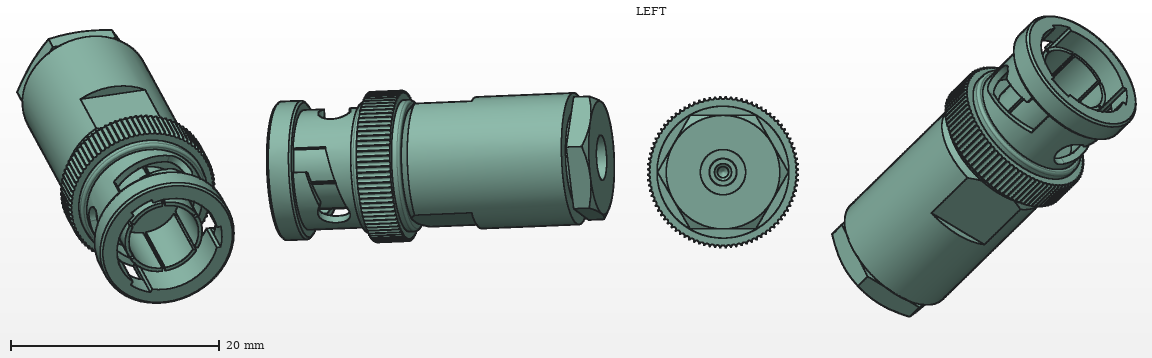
import cadquery as cq
import math

LENGTH = 31.5

HEX_FLATS = 10.9
HEX_LENGTH = 2.02
HEX_CHAMFER_ANGLE = 30.0
NECK_RADIUS = 4.6
CABLE_RADIUS = 2.17
CABLE_BORE_DEPTH = 9.45

BARREL_START = 2.5
BARREL_RADIUS = 6.33
BARREL_CHAMFER = 0.75
BARREL_END = 18.43
WRENCH_FLATS = HEX_FLATS
WRENCH_START = 12.05
CONTACT_RADIUS = 3.85
CONTACT_BORE_RADIUS = 3.45
CONTACT_START = 23.3
CONTACT_END = 30.1
SLIT_WIDTH = 0.28
SLIT_CUTS = 3

PIN_RADIUS = 1.3
PIN_CLEARANCE = 0.03
PIN_END = 22.05
CUP_RADIUS = 0.55
CUP_MOUTH_RADIUS = 0.82
CUP_DEPTH = 2.52

COLLAR_RADIUS = 6.33
COLLAR_FILLET = 0.28
GRIP_RADIUS = 7.25
GRIP_START = 19.2
GRIP_END = 22.52
GRIP_CHAMFER = 0.13
KNURL_COUNT = 88
KNURL_GROOVE_RADIUS = 0.22
SLEEVE_RADIUS = 5.75
SLEEVE_BORE_RADIUS = 5.05
FLANGE_RADIUS = 6.68
FLANGE_START = 29.07
FLANGE_CHAMFER = 0.22

SLOT_COUNT = 3
SLOT_FIRST_ANGLE = 61.0
SLOT_ROUND_X = 25.67
SLOT_ROUND_RADIUS = 1.58
SLOT_ENTRY_REAR_X = 25.92
SLOT_ENTRY_FRONT_X = 27.85
SLOT_ENTRY_NEAR_ANGLE = 46.4
SLOT_ENTRY_FAR_ANGLE = 70.3
LUG_GROOVE_RADIUS = 5.42
LUG_GROOVE_WIDTH = 2.27
CUT_MARGIN = 0.15

CHANNEL_SECTIONS = 6
CHANNEL_START_ANGLE = 3.9
CHANNEL_LEAD = 0.0265
CHANNEL_WIDTH = SLOT_ENTRY_FRONT_X - SLOT_ENTRY_REAR_X + CHANNEL_LEAD * (
    SLOT_ENTRY_FAR_ANGLE - SLOT_ENTRY_NEAR_ANGLE
)


def revolve_profile(points):
    """Turn a closed profile of (x, radius) points about the X axis."""
    return cq.Workplane("XY").polyline(points).close().revolve(360, (0, 0, 0), (1, 0, 0))


def cylinder(start, end, radius):
    return cq.Workplane("YZ").workplane(offset=start).circle(radius).extrude(end - start)


def turn_about_x(shape, angle):
    return shape.rotate((0, 0, 0), (1, 0, 0), angle)


def make_hexagon():
    """Hexagon with its rear corners turned off by a cone."""
    corner_radius = HEX_FLATS / 2 / math.cos(math.radians(30))
    chamfer = (corner_radius - HEX_FLATS / 2) * math.tan(math.radians(HEX_CHAMFER_ANGLE))
    envelope = revolve_profile([
        (0, 0),
        (0, HEX_FLATS / 2),
        (chamfer, corner_radius),
        (HEX_LENGTH, corner_radius),
        (HEX_LENGTH, 0),
    ])
    return cq.Workplane("YZ").polygon(6, 2 * corner_radius).extrude(HEX_LENGTH).intersect(envelope)


def make_wrench_flats():
    """Cutters for the two flats, above and below the barrel."""
    length = BARREL_END - WRENCH_START
    upper = (
        cq.Workplane("XY")
        .box(length, 2 * BARREL_RADIUS, BARREL_RADIUS, centered=(False, True, False))
        .translate((WRENCH_START, 0, WRENCH_FLATS / 2))
    )
    return upper.union(upper.mirror("XY"))


def make_housing():
    turned = revolve_profile([
        (HEX_LENGTH, 0),
        (HEX_LENGTH, NECK_RADIUS),
        (BARREL_START, NECK_RADIUS),
        (BARREL_START, BARREL_RADIUS),
        (BARREL_END - BARREL_CHAMFER, BARREL_RADIUS),
        (BARREL_END, BARREL_RADIUS - BARREL_CHAMFER),
        (BARREL_END, SLEEVE_BORE_RADIUS),
        (CONTACT_START, SLEEVE_BORE_RADIUS),
        (CONTACT_START, CONTACT_RADIUS),
        (CONTACT_END, CONTACT_RADIUS),
        (CONTACT_END, CONTACT_BORE_RADIUS),
        (CONTACT_START, CONTACT_BORE_RADIUS),
        (CONTACT_START, 0),
    ])
    body = make_hexagon().union(turned).cut(make_wrench_flats())
    body = body.cut(cylinder(0, CABLE_BORE_DEPTH, CABLE_RADIUS))
    body = body.cut(cylinder(CABLE_BORE_DEPTH, PIN_END, PIN_RADIUS + PIN_CLEARANCE))
    slit = (
        cq.Workplane("XY")
        .box(CONTACT_END - CONTACT_START, SLIT_WIDTH, 3 * CONTACT_RADIUS, centered=(False, True, True))
        .translate((CONTACT_START, 0, 0))
    )
    for i in range(SLIT_CUTS):
        body = body.cut(turn_about_x(slit, i * 180 / SLIT_CUTS))
    return body


def make_pin():
    countersink = CUP_MOUTH_RADIUS - CUP_RADIUS
    cup_end = CABLE_BORE_DEPTH + CUP_DEPTH
    cup = revolve_profile([
        (CABLE_BORE_DEPTH, 0),
        (CABLE_BORE_DEPTH, CUP_MOUTH_RADIUS),
        (CABLE_BORE_DEPTH + countersink, CUP_RADIUS),
        (cup_end, CUP_RADIUS),
        (cup_end + CUP_RADIUS, 0),
    ])
    return cylinder(CABLE_BORE_DEPTH, PIN_END, PIN_RADIUS).cut(cup)


def make_grip():
    """Knurled ring with round-bottomed grooves along X."""
    length = GRIP_END - GRIP_START
    grooves = (
        cq.Workplane("YZ")
        .workplane(offset=GRIP_START)
        .polarArray(GRIP_RADIUS, 0, 360, KNURL_COUNT)
        .circle(KNURL_GROOVE_RADIUS)
        .extrude(length)
    )
    ring = cylinder(GRIP_START, GRIP_END, GRIP_RADIUS).faces("<X or >X").edges().chamfer(GRIP_CHAMFER)
    return ring.cut(grooves)


def radial_section(rear_x, front_x, inner, outer, angle):
    """Rectangular wire in the half-plane through the X axis at an angle from +Y towards +Z."""
    turn = math.radians(angle)
    corners = [(rear_x, inner), (front_x, inner), (front_x, outer), (rear_x, outer)]
    points = [cq.Vector(x, r * math.cos(turn), r * math.sin(turn)) for x, r in corners]
    return cq.Wire.makePolygon(points, close=True)


def make_round_end(outer):
    """Tapered cutter with walls that point at the axis, centred on +Y."""
    taper = SLOT_ROUND_RADIUS / SLEEVE_RADIUS
    return (
        cq.Workplane("XZ", origin=(SLOT_ROUND_X, CONTACT_RADIUS, 0))
        .ellipse(SLOT_ROUND_RADIUS, taper * CONTACT_RADIUS)
        .workplane(offset=CONTACT_RADIUS - outer)
        .ellipse(SLOT_ROUND_RADIUS, taper * outer)
        .loft(ruled=True)
    )


def make_channel(inner, outer):
    """Slanted channel from the round end to the far side of the lug entry."""
    sweep = SLOT_ENTRY_FAR_ANGLE - CHANNEL_START_ANGLE
    sections = []
    for i in range(CHANNEL_SECTIONS + 1):
        angle = CHANNEL_START_ANGLE + sweep * i / CHANNEL_SECTIONS
        rear_x = SLOT_ENTRY_REAR_X - CHANNEL_LEAD * (SLOT_ENTRY_FAR_ANGLE - angle)
        sections.append(radial_section(rear_x, rear_x + CHANNEL_WIDTH, inner, outer, angle))
    return cq.Workplane(cq.Solid.makeLoft(sections))


def make_entry(inner, outer):
    """Straight lug entry through the sleeve, up to the flange."""
    section = (
        cq.Workplane("XY")
        .moveTo(SLOT_ENTRY_FRONT_X, inner)
        .lineTo(FLANGE_START, inner)
        .lineTo(FLANGE_START, outer)
        .lineTo(SLOT_ENTRY_FRONT_X, outer)
        .close()
    )
    sector = section.revolve(SLOT_ENTRY_FAR_ANGLE - SLOT_ENTRY_NEAR_ANGLE, (0, 0, 0), (1, 0, 0))
    return turn_about_x(sector, SLOT_ENTRY_NEAR_ANGLE)


def make_lug_groove():
    """Parallel-sided groove in the bore that leads from the front face to the slot."""
    groove = (
        cq.Workplane("XY")
        .box(LENGTH - SLOT_ENTRY_REAR_X, LUG_GROOVE_RADIUS, LUG_GROOVE_WIDTH, centered=(False, False, True))
        .translate((SLOT_ENTRY_REAR_X, 0, 0))
    )
    groove = turn_about_x(groove, (SLOT_ENTRY_NEAR_ANGLE + SLOT_ENTRY_FAR_ANGLE) / 2)
    return groove.intersect(cylinder(0, LENGTH, LUG_GROOVE_RADIUS))


def make_slot():
    """Cutter for one bayonet slot, with its round end centred on +Y."""
    inner = SLEEVE_BORE_RADIUS - CUT_MARGIN
    outer = SLEEVE_RADIUS + CUT_MARGIN
    slot = make_round_end(outer).union(make_channel(inner, outer))
    return slot.union(make_entry(inner, outer)).union(make_lug_groove())


def make_coupling():
    collar = cylinder(BARREL_END, CONTACT_START, COLLAR_RADIUS)
    collar = collar.faces("<X or >X").edges().fillet(COLLAR_FILLET)
    sleeve = cylinder(CONTACT_START, FLANGE_START, SLEEVE_RADIUS)
    flange = cylinder(FLANGE_START, LENGTH, FLANGE_RADIUS)
    flange = flange.faces("<X or >X").edges().chamfer(FLANGE_CHAMFER)
    coupling = collar.union(make_grip()).union(sleeve).union(flange)
    coupling = coupling.cut(cylinder(BARREL_END, LENGTH, SLEEVE_BORE_RADIUS))
    slot = make_slot()
    for i in range(SLOT_COUNT):
        coupling = coupling.cut(turn_about_x(slot, SLOT_FIRST_ANGLE + i * 360 / SLOT_COUNT))
    return coupling


housing = make_housing()
pin = make_pin()
coupling = make_coupling()
result = cq.Compound.makeCompound([housing.val(), pin.val(), coupling.val()])